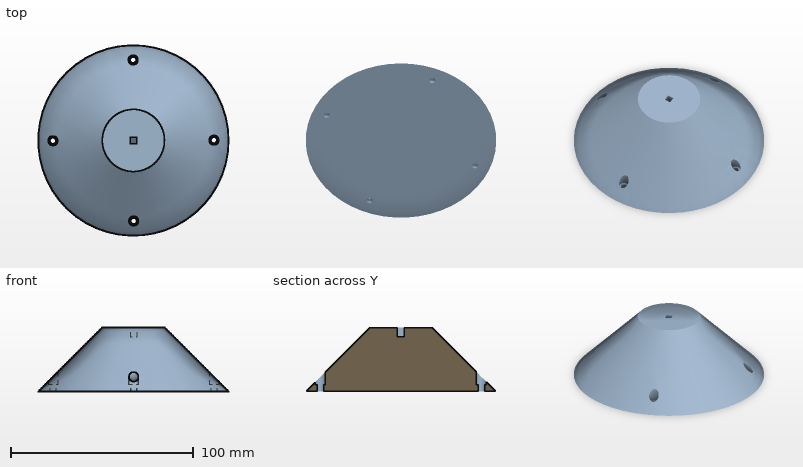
import cadquery as cq
import math

base_radius = 52.07
top_radius = 17.0
height = base_radius - top_radius

hole_count = 4
hole_circle_radius = 44.0
hole_pattern_turn = 0.2
hole_diameter = 3.3
counterbore_diameter = 5.2
counterbore_floor_z = 4.0

socket_side = 3.5
socket_depth = 5.0


def make_cone():
    """Solid truncated cone standing on the XY plane."""
    return cq.Workplane("XY").add(cq.Solid.makeCone(base_radius, top_radius, height))


def make_screw_hole(angle):
    """Vertical through hole whose counterbore opens through the sloping flank."""
    x = hole_circle_radius * math.cos(angle)
    y = hole_circle_radius * math.sin(angle)
    shaft = cq.Workplane("XY").center(x, y).circle(hole_diameter / 2).extrude(height)
    counterbore = (
        cq.Workplane("XY", origin=(x, y, counterbore_floor_z))
        .circle(counterbore_diameter / 2)
        .extrude(height - counterbore_floor_z)
    )
    return shaft.union(counterbore)


def make_socket():
    """Square cutter reaching down from the top face."""
    socket_floor = cq.Workplane("XY", origin=(0, 0, height - socket_depth))
    return socket_floor.rect(socket_side, socket_side).extrude(socket_depth)


result = make_cone().cut(make_socket())
for index in range(hole_count):
    hole_angle = math.radians(hole_pattern_turn + index * 360 / hole_count)
    result = result.cut(make_screw_hole(hole_angle))